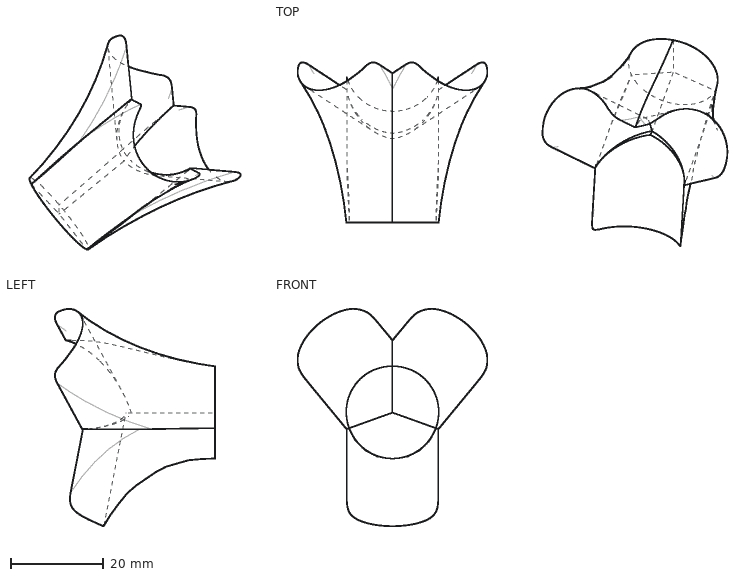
import cadquery as cq
import math

limb_radius = 10.0
upper_limb_angle = 39.5
lower_limb_angle = 180.0
lower_seam_angle = (upper_limb_angle + lower_limb_angle) / 2

upper_control = (21.55, 3.3)
upper_end = (36.25, 18.45)
lower_control = (21.9, 0.0)
lower_end = (33.25, 20.35)

channel_radius = 10.15
upper_channel_depth = 29.25
upper_channel_slope = 22.7
lower_channel_depth = 29.75
lower_channel_slope = 11.0

lead_in = 4.75
body_depth = 61.5
inner_margin = 14.2
far_reach = 94.65


def lead_start(control):
    """Point on the centre line's starting tangent, ahead of the front face."""
    return (-lead_in, -lead_in * control[1] / control[0])


def round_limb(control, end):
    """Bent round bar along the centre line, pointing towards +Z."""
    start = lead_start(control)
    path = (
        cq.Workplane("YZ")
        .moveTo(*start)
        .lineTo(0, 0)
        .bezier([control, end], includeCurrent=True)
    )
    section_plane = cq.Plane(
        origin=(0, *start), xDir=(1, 0, 0), normal=(0, *control)
    )
    return cq.Workplane(section_plane).circle(limb_radius).sweep(path)


def straight_sided_infill(control, end):
    """Flat-sided block filling the limb's width on the inner side of its centre line."""
    start = lead_start(control)
    run = end[0] - control[0]
    rise = end[1] - control[1]
    inner_reach = end[1] - (body_depth - end[0]) * run / rise
    return (
        cq.Workplane("YZ")
        .moveTo(*start)
        .lineTo(0, 0)
        .bezier([control, end], includeCurrent=True)
        .lineTo(body_depth, inner_reach)
        .lineTo(body_depth, -inner_margin)
        .lineTo(-lead_in, -inner_margin)
        .close()
        .extrude(limb_radius, both=True)
    )


def back_channel(axis_depth, slope):
    """U-shaped cutter, round at the front and open at the back."""
    length = 2 * far_reach
    bore = cq.Workplane("XY").circle(channel_radius).extrude(length)
    opening = cq.Workplane("XY").box(
        2 * channel_radius, far_reach, length, centered=(True, False, False)
    )
    return (
        bore.union(opening)
        .translate((0, 0, -far_reach))
        .rotate((0, 0, 0), (1, 0, 0), -slope)
        .translate((0, axis_depth, 0))
    )


def wedge(first_angle, last_angle):
    """Sector about the Y axis, from the front face backwards."""
    def rim_point(angle):
        turn = math.radians(angle)
        return (far_reach * math.sin(turn), far_reach * math.cos(turn))

    middle_angle = (first_angle + last_angle) / 2
    return (
        cq.Workplane("XZ")
        .moveTo(0, 0)
        .lineTo(*rim_point(first_angle))
        .lineTo(*rim_point(middle_angle))
        .lineTo(*rim_point(last_angle))
        .close()
        .extrude(-body_depth)
    )


def limb(angle, seams, control, end, channel_depth, channel_slope):
    """One limb, turned to its angle and trimmed to the seams with its neighbours."""
    outer = round_limb(control, end).union(straight_sided_infill(control, end))
    hollowed = outer.cut(back_channel(channel_depth, channel_slope))
    turned = hollowed.rotate((0, 0, 0), (0, 1, 0), angle)
    return turned.intersect(wedge(*seams))


upper_right_limb = limb(
    upper_limb_angle, (0, lower_seam_angle), upper_control, upper_end,
    upper_channel_depth, upper_channel_slope,
)
upper_left_limb = upper_right_limb.mirror("YZ")
lower_limb = limb(
    lower_limb_angle, (lower_seam_angle, 360 - lower_seam_angle), lower_control, lower_end,
    lower_channel_depth, lower_channel_slope,
)

result = cq.Compound.makeCompound(
    [*upper_right_limb.vals(), *upper_left_limb.vals(), *lower_limb.vals()]
)